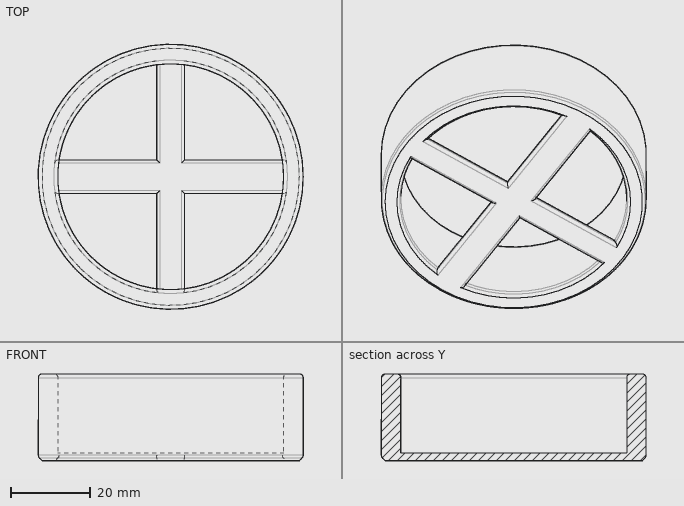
import cadquery as cq

outer_diameter = 67.0
inner_diameter = 57.0
ring_height = 22.0
edge_round = 1.0
bottom_chamfer = 1.0

x_bar_width = 8.5
y_bar_width = 7.05
bar_thickness = 2.0
bar_edge_round = 0.8
bar_length = (outer_diameter + inner_diameter) / 2


def make_ring():
    ring = cq.Workplane("XY").circle(outer_diameter / 2).circle(inner_diameter / 2).extrude(ring_height)
    ring = ring.faces(">Z").edges().fillet(edge_round)
    ring = ring.faces("<Z").edges().chamfer(bottom_chamfer)
    chamfer_top = cq.selectors.BoxSelector(
        (-outer_diameter, -outer_diameter, bottom_chamfer / 2),
        (outer_diameter, outer_diameter, bottom_chamfer * 1.5),
        boundingbox=True,
    )
    return ring.edges("%CIRCLE").edges(chamfer_top).fillet(edge_round)


def make_bar(x_size, y_size):
    return cq.Workplane("XY").box(x_size, y_size, bar_thickness, centered=(True, True, False))


def make_cross():
    cross = make_bar(bar_length, x_bar_width).union(make_bar(y_bar_width, bar_length))
    cross = cross.faces(">Z").edges().fillet(bar_edge_round)
    return cross.faces("<Z").edges().fillet(bar_edge_round)


result = make_ring().union(make_cross())